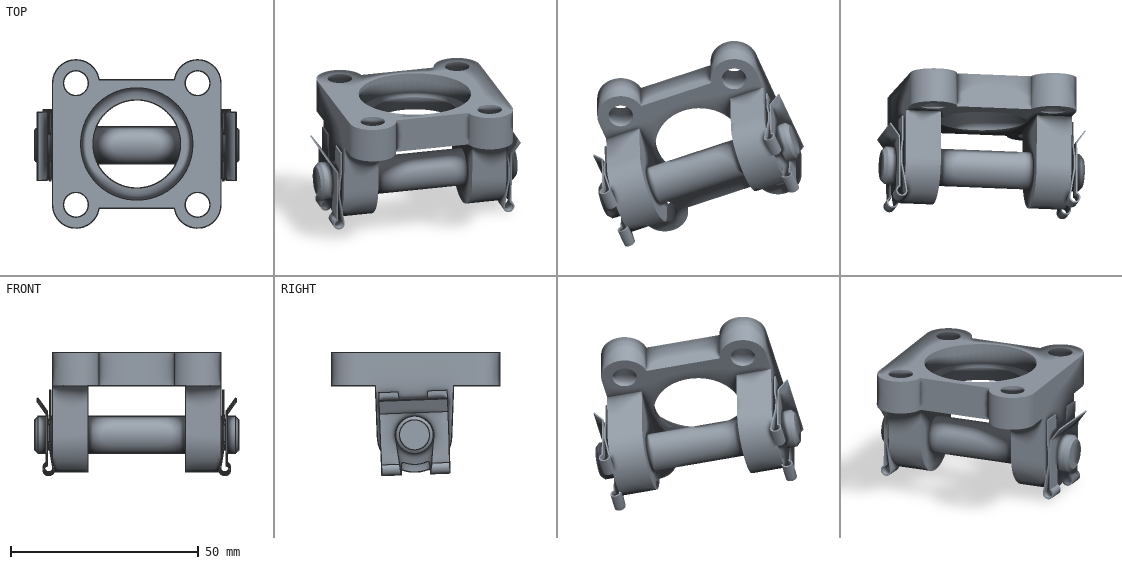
import cadquery as cq
import math


flange_width = 44.95
flange_top = 22.0
flange_thickness = 9.0
flange_bottom = flange_top - flange_thickness
flange_waist = 34.4
flange_middle_y = 0.3
ear_radius = 6.25
ear_spacing = flange_width - 2 * ear_radius
ear_hole_diameter = 6.55
bore_diameter = 23.45
counterbore_diameter = 30.0
counterbore_depth = 5.5
lug_face = flange_width / 2
lug_thickness = 9.5
lug_radius = 10.0
lug_top_half_width = 10.45

pin_length = 54.5
pin_radius = 10.0 / 2
pin_chamfer = 1.0
groove_radius = 4.05
groove_width = 1.0
groove_offset = 0.3

sheet = 0.4
clip_width = 18.25
clip_tilt = 2.1
outer_leaf_x = 24.05
inner_leaf_top_x = 23.1
inner_leaf_bulge_x = 23.5
inner_leaf_top_z = 11.4
bulge_start_z = 5.35
bulge_top_z = 2.35
bulge_bottom_z = -1.15
lip_fold_z = 5.95
lip_run = 2.35
lip_rise = 3.25
loop_x = 23.5
loop_z = -9.05
loop_radius = 2.65 / 2

leaf_split_x = (outer_leaf_x + inner_leaf_bulge_x) / 2
outer_hole_radius = 5.2
outer_hole_drop = 0.15
loop_gap = 7.85
snap_width_at_top = 8.0
snap_width_at_axis = 5.1
notch_top_width = 6.55
tongue_radius = 7.9
notch_corner_radius = 0.5
loop_bottom_z = loop_z - loop_radius - sheet
opening_depth = 4.35


def at_ears():
    """Ear centres on the underside of the flange."""
    return (
        cq.Workplane("XY", origin=(0, flange_middle_y, flange_bottom))
        .rect(ear_spacing, ear_spacing, forConstruction=True).vertices()
    )


def make_flange():
    underside = cq.Workplane("XY", origin=(0, flange_middle_y, flange_bottom))
    sides = underside.rect(flange_width, ear_spacing).extrude(flange_thickness)
    waist = underside.rect(ear_spacing, flange_waist).extrude(flange_thickness)
    ears = at_ears().circle(ear_radius).extrude(flange_thickness)
    return sides.union(waist).union(ears)


def make_lug(side):
    start_x = lug_face if side > 0 else lug_thickness - lug_face
    return (
        cq.Workplane("YZ", origin=(start_x, 0, 0))
        .moveTo(-lug_top_half_width, flange_bottom)
        .lineTo(-lug_radius, 0)
        .threePointArc((0, -lug_radius), (lug_radius, 0))
        .lineTo(lug_top_half_width, flange_bottom)
        .close()
        .extrude(-lug_thickness)
    )


def make_housing(clips):
    housing = make_flange()
    for side in (-1, 1):
        housing = housing.union(make_lug(side))
    bore = (
        cq.Workplane("XY", origin=(0, flange_middle_y, flange_bottom))
        .circle(bore_diameter / 2).extrude(flange_thickness)
    )
    counterbore = (
        cq.Workplane("XY", origin=(0, flange_middle_y, flange_top))
        .circle(counterbore_diameter / 2).extrude(-counterbore_depth)
    )
    ear_holes = at_ears().circle(ear_hole_diameter / 2).extrude(flange_thickness)
    pin_hole = cq.Workplane("YZ").circle(pin_radius).extrude(lug_face, both=True)
    housing = housing.cut(bore).cut(counterbore).cut(ear_holes).cut(pin_hole)
    for clip in clips:
        housing = housing.cut(clip)
    return housing


def make_pin():
    pin = (
        cq.Workplane("YZ").circle(pin_radius).extrude(pin_length / 2, both=True)
        .faces("<X or >X").chamfer(pin_chamfer)
    )
    for side in (-1, 1):
        groove_start = side * (lug_face + groove_offset)
        groove = (
            cq.Workplane("YZ", origin=(groove_start, 0, 0))
            .circle(pin_radius).circle(groove_radius)
            .extrude(side * groove_width)
        )
        pin = pin.cut(groove)
    return pin


def make_folded_sheet():
    """Sheet that follows a middle line from the tip of the lip to the top of the inner leaf."""
    loop_start_z = loop_z + math.sqrt(loop_radius**2 - (outer_leaf_x - loop_x) ** 2)
    reach_x = inner_leaf_bulge_x - loop_x
    reach_z = bulge_bottom_z - loop_z
    tangent_angle = math.atan2(reach_z, reach_x) + math.acos(loop_radius / math.hypot(reach_x, reach_z))
    loop_end = (
        loop_x + loop_radius * math.cos(tangent_angle),
        loop_z + loop_radius * math.sin(tangent_angle),
    )
    lip_tip = (outer_leaf_x + lip_run, lip_fold_z + lip_rise)
    folded = (
        cq.Workplane("XZ").moveTo(*lip_tip)
        .lineTo(outer_leaf_x, lip_fold_z)
        .lineTo(outer_leaf_x, loop_start_z)
        .threePointArc((loop_x, loop_z - loop_radius), loop_end)
        .lineTo(inner_leaf_bulge_x, bulge_bottom_z)
        .lineTo(inner_leaf_bulge_x, bulge_top_z)
        .lineTo(inner_leaf_top_x, bulge_start_z)
        .lineTo(inner_leaf_top_x, inner_leaf_top_z)
        .wire().offset2D(sheet / 2, "intersection")
        .extrude(clip_width / 2, both=True)
    )
    square_end = cq.Workplane("XY").box(sheet, clip_width, sheet)
    lip_lean = math.degrees(math.atan2(lip_run, lip_rise))
    lip_end = square_end.rotate((0, 0, 0), (0, 1, 0), lip_lean).translate((lip_tip[0], 0, lip_tip[1]))
    inner_end = square_end.translate((inner_leaf_top_x, 0, inner_leaf_top_z))
    return folded.union(lip_end).union(inner_end)


def make_tapered_slot(lower_width, upper_width, lower_z, upper_z):
    return (
        cq.Workplane("YZ")
        .moveTo(-lower_width / 2, lower_z)
        .lineTo(lower_width / 2, lower_z)
        .lineTo(upper_width / 2, upper_z)
        .lineTo(-upper_width / 2, upper_z)
        .close()
        .extrude(opening_depth)
    )


def make_outer_opening():
    """Hole that slips over the pin and runs down into the gap between the loops."""
    hole = (
        cq.Workplane("YZ", origin=(0, 0, -outer_hole_drop))
        .circle(outer_hole_radius).extrude(opening_depth)
    )
    slot = make_tapered_slot(loop_gap, 2 * outer_hole_radius, loop_bottom_z, -outer_hole_drop)
    return hole.union(slot).translate((leaf_split_x, 0, 0))


def make_inner_opening():
    """Snap slot that grips the pin groove, and the notch below that ends the tongue."""
    seat = cq.Workplane("YZ").circle(groove_radius).extrude(opening_depth)
    snap_slot = make_tapered_slot(snap_width_at_axis, snap_width_at_top, 0, inner_leaf_top_z + sheet)
    tongue = cq.Workplane("YZ").circle(tongue_radius).extrude(opening_depth)
    notch = (
        make_tapered_slot(loop_gap, notch_top_width, loop_bottom_z, 0)
        .cut(tongue)
        .edges("|X").edges(">Z").fillet(notch_corner_radius)
    )
    return seat.union(snap_slot).union(notch).translate((leaf_split_x - opening_depth, 0, 0))


def make_clip(side, pin):
    clip = (
        make_folded_sheet()
        .cut(make_outer_opening())
        .cut(make_inner_opening())
        .rotate((0, 0, 0), (1, 0, 0), clip_tilt)
    )
    if side < 0:
        clip = clip.mirror("YZ")
    return clip.cut(pin)


pin = make_pin()
clips = [make_clip(side, pin) for side in (-1, 1)]
housing = make_housing(clips)

result = cq.Compound.makeCompound([housing.val(), pin.val(), *[clip.val() for clip in clips]])